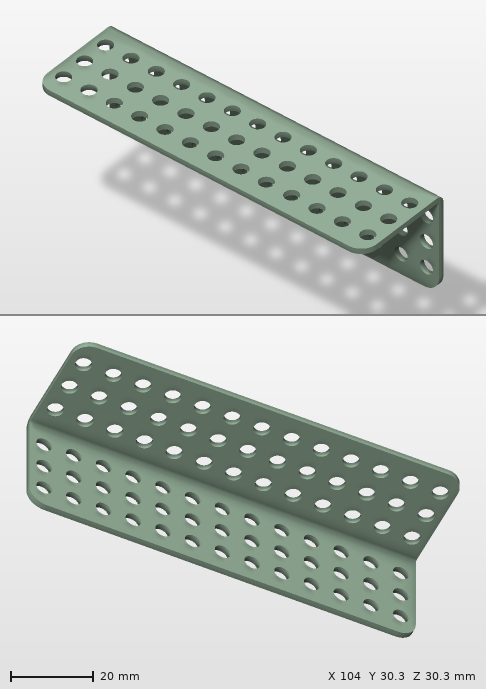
import cadquery as cq

length = 104.0
flange = 30.3
thickness = 1.7
inner_bend_radius = 0.8
corner_radius = 4.8
hole_diameter = 4.2
columns = 13
rows = 3

pitch = length / columns
outer_bend_radius = inner_bend_radius + thickness


def bent_angle():
    """L-shaped sheet with its outer bend along the X axis."""
    profile = (
        cq.Workplane("YZ")
        .moveTo(0, 0)
        .lineTo(-flange, 0)
        .lineTo(-flange, -thickness)
        .lineTo(-thickness, -thickness)
        .lineTo(-thickness, -flange)
        .lineTo(0, -flange)
        .close()
    )
    body = profile.extrude(length / 2, both=True)
    body = body.edges(cq.NearestToPointSelector((0, 0, 0))).fillet(outer_bend_radius)
    inner_edge = cq.NearestToPointSelector((0, -thickness, -thickness))
    return body.edges(inner_edge).fillet(inner_bend_radius)


def round_free_corners(body):
    """Round the two outer corners of each flange."""
    body = body.faces("<Y").edges("|Z").fillet(corner_radius)
    return body.faces("<Z").edges("|Y").fillet(corner_radius)


def hole_cutters(plane):
    """Grid of hole cylinders through one flange, rows counted from the bend."""
    centers = [
        ((column - (columns - 1) / 2) * pitch, -row * pitch)
        for column in range(columns)
        for row in range(1, rows + 1)
    ]
    return (
        cq.Workplane(plane)
        .pushPoints(centers)
        .circle(hole_diameter / 2)
        .extrude(thickness, both=True)
    )


result = round_free_corners(bent_angle())
result = result.cut(hole_cutters("XY"))
result = result.cut(hole_cutters("XZ"))